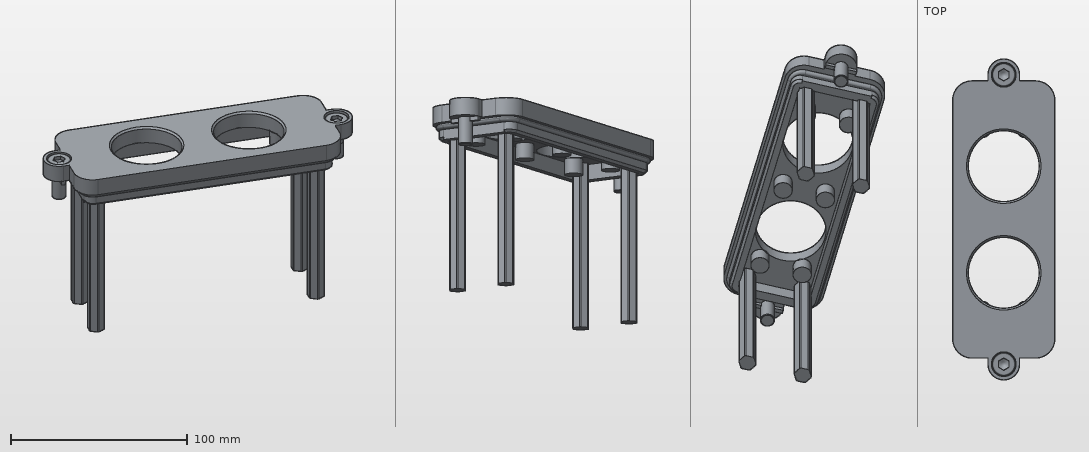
import cadquery as cq

LENGTH = 182.0
WIDTH = 58.0
PLATE_LENGTH = 157.2
PLATE_THICKNESS = 10.0
PLATE_CORNER_RADIUS = 11.1
EAR_RADIUS = 9.0
EAR_Y = LENGTH / 2 - EAR_RADIUS

OPENING_DIAMETER = 40.0
OPENING_CHAMFER = 1.1
OPENING_Y = 30.2

BAR_THICKNESS = 2.2
BAR_HEIGHT = 2.4

RIM_WIDTH = 51.5
RIM_LENGTH = 146.5
RIM_BOTTOM = -19.0
RIM_WALL = 5.1
RIM_CORNER_RADIUS = 5.5
RIM_CHAMFER = 1.5
BEAD_WIDTH = 54.8
BEAD_LENGTH = 152.0
BEAD_HEIGHT = 3.1
BEAD_CORNER_RADIUS = 8.4
BEAD_TOP_FILLET = 1.1
BEAD_BOTTOM_FILLET = 1.8

POST_ACROSS_FLATS = 9.0
POST_DIAMETER = 9.8
POST_X = 16.2
POST_Y = 65.0
POST_BOTTOM = -105.0

BOSS_DIAMETER = 10.4
BOSS_X = 12.4
BOSS_SPACING = 51.5

COUNTERBORE_DIAMETER = 14.0
HEAD_DIAMETER = 13.0
HEAD_HEIGHT = 8.0
HEAD_FILLET = 0.4
HEAD_RECESS = 0.5
FIXED_SCREW_EXTRA_DEPTH = 0.5
COUNTERBORE_DEPTH = HEAD_RECESS + HEAD_HEIGHT
SHANK_DIAMETER = 8.0
SHANK_LENGTH = 16.4
SHANK_CHAMFER = 0.45
SOCKET_ACROSS_FLATS = 6.0
SOCKET_DEPTH = 2.0
SOCKET_CONE_HEIGHT = 1.8

HEX_CORNER_RATIO = 2 / 3 ** 0.5


def cylinder(diameter, z_top, z_bottom, points=((0, 0),)):
    return (
        cq.Workplane("XY", origin=(0, 0, z_bottom))
        .pushPoints(list(points))
        .circle(diameter / 2)
        .extrude(z_top - z_bottom)
    )


def rounded_block(width, length, radius, z_top, z_bottom):
    return (
        cq.Workplane("XY", origin=(0, 0, z_bottom))
        .rect(width, length)
        .extrude(z_top - z_bottom)
        .edges("|Z")
        .fillet(radius)
    )


def make_plate():
    plate = rounded_block(WIDTH, PLATE_LENGTH, PLATE_CORNER_RADIUS, 0, -PLATE_THICKNESS)
    ears = cq.Workplane("XY").slot2D(LENGTH, 2 * EAR_RADIUS, 90).extrude(-PLATE_THICKNESS)
    plate = plate.union(ears)
    for y in (-EAR_Y, EAR_Y):
        bar = (
            cq.Workplane("XY", origin=(0, y, -PLATE_THICKNESS))
            .rect(2 * EAR_RADIUS, BAR_THICKNESS)
            .extrude(-BAR_HEIGHT)
        )
        plate = plate.union(bar)
    return plate


def make_rim():
    rim = rounded_block(RIM_WIDTH, RIM_LENGTH, RIM_CORNER_RADIUS, -PLATE_THICKNESS, RIM_BOTTOM)
    rim = rim.faces("<Z").edges().chamfer(RIM_CHAMFER)

    square_ends = (
        cq.Workplane("XY", origin=(0, 0, RIM_BOTTOM))
        .rect(RIM_WIDTH - 2 * RIM_CORNER_RADIUS, RIM_LENGTH)
        .extrude(-PLATE_THICKNESS - RIM_BOTTOM)
    )
    rim = rim.union(square_ends)

    bead = rounded_block(
        BEAD_WIDTH, BEAD_LENGTH, BEAD_CORNER_RADIUS,
        -PLATE_THICKNESS, -PLATE_THICKNESS - BEAD_HEIGHT,
    )
    bead = bead.faces(">Z").edges().fillet(BEAD_TOP_FILLET)
    bead = bead.faces("<Z").edges().fillet(BEAD_BOTTOM_FILLET)

    cavity = (
        cq.Workplane("XY", origin=(0, 0, RIM_BOTTOM))
        .rect(RIM_WIDTH - 2 * RIM_WALL, RIM_LENGTH - 2 * RIM_WALL)
        .extrude(-PLATE_THICKNESS - RIM_BOTTOM)
    )
    return rim.union(bead).cut(cavity)


def make_posts():
    points = [(x, y) for x in (-POST_X, POST_X) for y in (-POST_Y, POST_Y)]
    hexagons = (
        cq.Workplane("XY", origin=(0, 0, POST_BOTTOM))
        .pushPoints(points)
        .polygon(6, POST_ACROSS_FLATS * HEX_CORNER_RATIO)
        .extrude(-PLATE_THICKNESS - POST_BOTTOM)
    )
    return hexagons.intersect(cylinder(POST_DIAMETER, -PLATE_THICKNESS, POST_BOTTOM, points))


def make_bosses():
    points = [(x, y) for x in (-BOSS_X, BOSS_X) for y in (-BOSS_SPACING, 0, BOSS_SPACING)]
    return cylinder(BOSS_DIAMETER, -PLATE_THICKNESS, RIM_BOTTOM, points)


def cut_openings(body):
    for y in (-OPENING_Y, OPENING_Y):
        opening = cylinder(OPENING_DIAMETER, 0, -PLATE_THICKNESS, [(0, y)])
        countersink = cq.Workplane(
            cq.Solid.makeCone(
                OPENING_DIAMETER / 2 + OPENING_CHAMFER, OPENING_DIAMETER / 2, OPENING_CHAMFER,
                pnt=cq.Vector(0, y, 0), dir=cq.Vector(0, 0, -1),
            )
        )
        body = body.cut(opening).cut(countersink)
    return body


def cut_screw_holes(body):
    points = [(0, -EAR_Y), (0, EAR_Y)]
    body = body.cut(cylinder(COUNTERBORE_DIAMETER, 0, -COUNTERBORE_DEPTH, points))
    return body.cut(cylinder(SHANK_DIAMETER, 0, -PLATE_THICKNESS - BAR_HEIGHT, points))


def make_screw(y, recess):
    head = cylinder(HEAD_DIAMETER, 0, -HEAD_HEIGHT).faces(">Z").edges().fillet(HEAD_FILLET)
    shank = cylinder(SHANK_DIAMETER, -HEAD_HEIGHT, -HEAD_HEIGHT - SHANK_LENGTH)
    shank = shank.faces("<Z").edges().chamfer(SHANK_CHAMFER)

    corner_diameter = SOCKET_ACROSS_FLATS * HEX_CORNER_RATIO
    total_depth = SOCKET_DEPTH + SOCKET_CONE_HEIGHT
    hexagon = cq.Workplane("XY").transformed(rotate=(0, 0, 30)).polygon(6, corner_diameter)
    socket_end = (
        cq.Workplane("XZ")
        .polyline([
            (0, 0),
            (corner_diameter / 2, 0),
            (corner_diameter / 2, -SOCKET_DEPTH),
            (0, -total_depth),
        ])
        .close()
        .revolve(360, (0, 0), (0, 1))
    )
    socket = hexagon.extrude(-total_depth).intersect(socket_end)
    return head.union(shank).cut(socket).translate((0, y, -recess))


cover = make_plate().union(make_rim()).union(make_posts()).union(make_bosses())
cover = cut_screw_holes(cut_openings(cover))
cover = cover.union(make_screw(EAR_Y, HEAD_RECESS + FIXED_SCREW_EXTRA_DEPTH))

screw = make_screw(-EAR_Y, HEAD_RECESS)

result = cq.Compound.makeCompound([cover.solids().val(), screw.solids().val()])